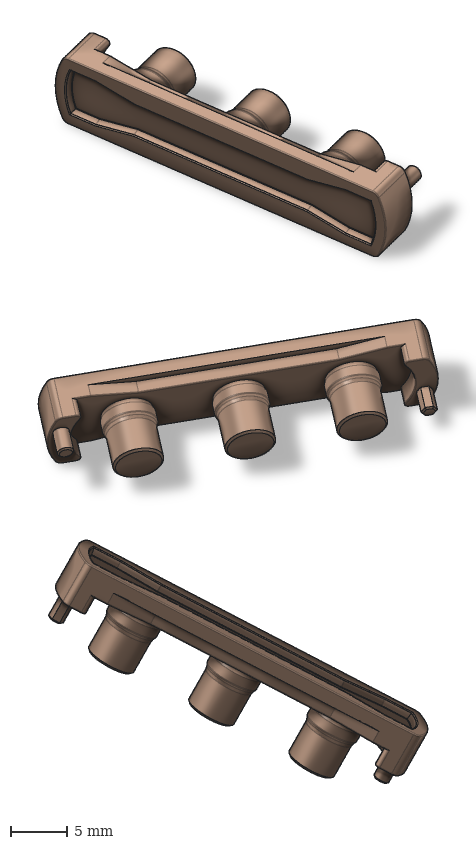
import cadquery as cq
import math

length = 35.52
height = 7.62
half_length = length / 2
half_height = height / 2
bar_thickness = 2.5
end_block_depth = 4.3
end_radius = 7.9
corner_radius = 0.75
edge_break = 0.1

end_block_width = 2.1
end_block_tip_radius = 0.45

pocket_depth = 0.75
pocket_draft = 14
pocket_floor_chamfer = 0.05
pocket_rim_angle = 45
pocket_end_margin = 1.15
pocket_end_half_height = 2.54
pocket_waist_half_height = 1.8
waist_start = 13.4
waist_end = 9.3

recess_start_y = 1.3
recess_half_length = 13.45
recess_flat_half_length = 9.1
recess_depth = pocket_end_half_height - pocket_waist_half_height

boss_pitch = 10.16
boss_diameter = 4.62
boss_end_y = 8.0
boss_chamfer = 0.2
collar_diameter = 5.05
collar_foot_inset = 0.15
collar_foot_end_y = 3.0
collar_end_y = 4.0
collar_cone_end_y = 4.42
collar_edge_radius = 0.2
collar_cone_blend_radius = 0.75

pin_x = 16.5
pin_z = 1.53
pin_diameter = 1.5
hex_pin_sides = 6
pin_end_y = 6.6
pin_chamfer = 0.15


def plane_at(y):
    """Sketch plane parallel to XZ whose normal points toward +Y; its local y axis is -Z."""
    return cq.Workplane(cq.Plane(origin=(0, y, 0), xDir=(1, 0, 0), normal=(0, 1, 0)))


def arc_corner_x(end_x, radius, z):
    """X at height z on an end arc that is centred on z = 0 and reaches end_x there."""
    return end_x - radius + math.sqrt(radius**2 - z**2)


def barrel_outline(y, end_x, radius, half_z):
    """Straight upper and lower edges joined by bulging arcs at both ends."""
    corner_x = arc_corner_x(end_x, radius, half_z)
    return (
        plane_at(y)
        .moveTo(-corner_x, -half_z)
        .lineTo(corner_x, -half_z)
        .threePointArc((end_x, 0), (corner_x, half_z))
        .lineTo(-corner_x, half_z)
        .threePointArc((-end_x, 0), (-corner_x, -half_z))
        .close()
    )


def make_body():
    outer = barrel_outline(0, half_length, end_radius, half_height).extrude(end_block_depth)
    outer = outer.edges("|Y").fillet(corner_radius)
    gap_end_x = half_length - end_block_width
    gap_radius = end_radius - end_block_width
    gap = barrel_outline(bar_thickness, gap_end_x, gap_radius, half_height)
    body = outer.cut(gap.extrude(end_block_depth - bar_thickness))

    gap_corner_x = arc_corner_x(gap_end_x, gap_radius, half_height)
    for side in (-1, 1):
        for level in (-1, 1):
            x = side * gap_corner_x
            z = level * half_height
            tip = cq.selectors.BoxSelector(
                (x - edge_break, bar_thickness + edge_break, z - edge_break),
                (x + edge_break, end_block_depth - edge_break, z + edge_break),
            )
            body = body.edges("|Y").edges(tip).fillet(end_block_tip_radius)
    return body.faces("<Y or >Y").edges().fillet(edge_break)


def pocket_outline(outset):
    """Opening of the pocket, widened all round by outset."""
    margin = pocket_end_margin - outset
    arc_radius = end_radius - margin
    end_x = half_length - margin
    end_z = pocket_end_half_height + outset
    waist_z = pocket_waist_half_height + outset
    corner_x = arc_corner_x(end_x, arc_radius, end_z)
    return (
        plane_at(0)
        .moveTo(-corner_x, -end_z)
        .lineTo(-waist_start, -end_z)
        .lineTo(-waist_end, -waist_z)
        .lineTo(waist_end, -waist_z)
        .lineTo(waist_start, -end_z)
        .lineTo(corner_x, -end_z)
        .threePointArc((end_x, 0), (corner_x, end_z))
        .lineTo(waist_start, end_z)
        .lineTo(waist_end, waist_z)
        .lineTo(-waist_end, waist_z)
        .lineTo(-waist_start, end_z)
        .lineTo(-corner_x, end_z)
        .threePointArc((-end_x, 0), (-corner_x, -end_z))
        .close()
    )


def make_pocket():
    pocket = pocket_outline(0).extrude(pocket_depth, taper=pocket_draft)
    return pocket.faces(">Y").edges().chamfer(pocket_floor_chamfer)


def make_pocket_rim():
    return pocket_outline(edge_break).extrude(edge_break, taper=pocket_rim_angle)


def make_edge_recess(level):
    floor_z = level * (half_height - recess_depth)
    edge_z = level * half_height
    return (
        plane_at(recess_start_y)
        .moveTo(-recess_half_length, -edge_z)
        .lineTo(-recess_flat_half_length, -floor_z)
        .lineTo(recess_flat_half_length, -floor_z)
        .lineTo(recess_half_length, -edge_z)
        .close()
        .extrude(bar_thickness - recess_start_y)
    )


def break_bar_back_edges(body):
    """Round the upper and lower back edges between the end block tips."""
    tip_x = half_length - end_block_width
    back_edges = cq.selectors.BoxSelector(
        (-tip_x, bar_thickness - edge_break, -height),
        (tip_x, bar_thickness + edge_break, height),
        boundingbox=True,
    )
    return body.edges(back_edges).edges("%LINE").fillet(edge_break)


def make_boss(x):
    collar_radius = collar_diameter / 2
    boss_radius = boss_diameter / 2
    boss = (
        cq.Workplane("XY")
        .moveTo(0, bar_thickness)
        .lineTo(collar_radius - collar_foot_inset, bar_thickness)
        .lineTo(collar_radius, collar_foot_end_y)
        .lineTo(collar_radius, collar_end_y)
        .lineTo(boss_radius, collar_cone_end_y)
        .lineTo(boss_radius, boss_end_y)
        .lineTo(0, boss_end_y)
        .close()
        .revolve(360, (0, 0, 0), (0, 1, 0))
    )
    boss = boss.faces(">Y").edges().chamfer(boss_chamfer)
    for edge_y, radius in (
        (collar_end_y, collar_edge_radius),
        (collar_cone_end_y, collar_cone_blend_radius),
    ):
        ring = cq.selectors.BoxSelector(
            (-collar_diameter, edge_y - edge_break, -collar_diameter),
            (collar_diameter, edge_y + edge_break, collar_diameter),
        )
        boss = boss.edges("%CIRCLE").edges(ring).fillet(radius)
    return boss.translate((x, 0, 0))


def make_pin(sketch):
    return sketch.extrude(pin_end_y - bar_thickness).faces(">Y").chamfer(pin_chamfer)


result = make_body().cut(make_pocket()).cut(make_pocket_rim())
for recess_level in (-1, 1):
    result = result.cut(make_edge_recess(recess_level))
result = break_bar_back_edges(result)

for boss_index in (-1, 0, 1):
    result = result.union(make_boss(boss_index * boss_pitch))

hex_pin = make_pin(plane_at(bar_thickness).center(-pin_x, pin_z).polygon(hex_pin_sides, pin_diameter))
round_pin = make_pin(plane_at(bar_thickness).center(pin_x, -pin_z).circle(pin_diameter / 2))
result = result.union(hex_pin).union(round_pin)